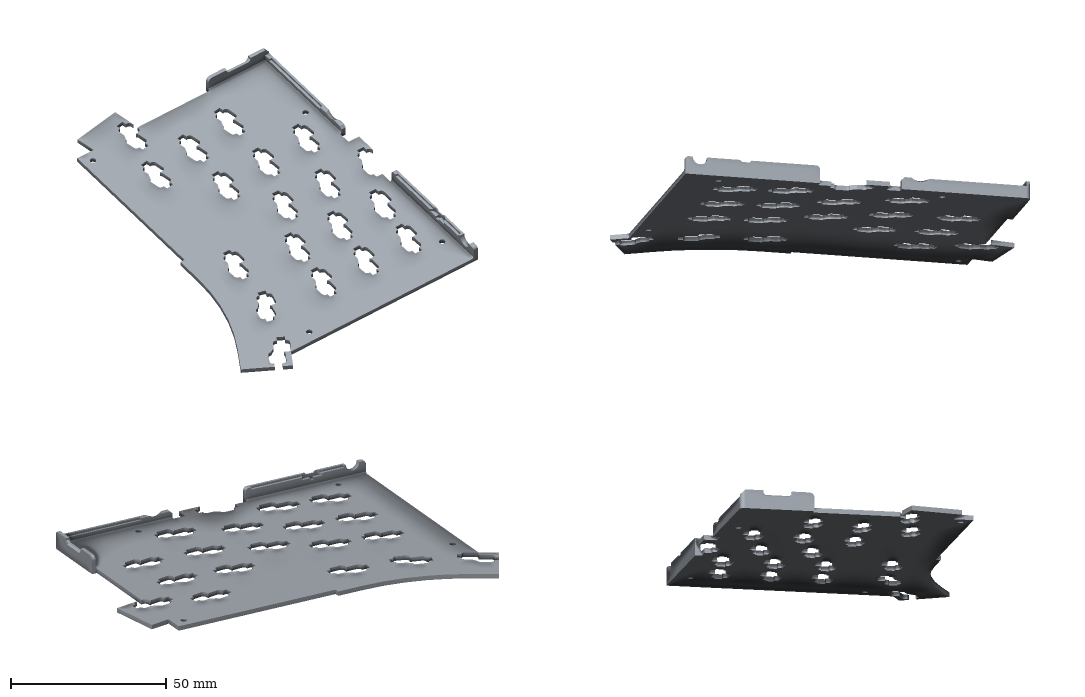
import cadquery as cq
import math

LENGTH_X = 128.3
DEPTH_Y = 94.5
HEIGHT_Z = 6.2

PLATE = 1.5
PANEL_W = 112.8
PANEL_D = 74.8
FOOT = 0.5

SWEEP_STEP_X = 58.3
SWEEP_DROP = 1.7
SWEEP_START_X = 67.8
SWEEP_R = 68.3
SWEEP_ANGLE = 30
SWEEP_TAIL = 9.2
THUMB_SIDE = 17.0

PINKY_ANGLE = 10
PINKY_CORNER_Y = 22.5
PINKY_SIDE = 17.5
PINKY_TOP_END_X = -1.9

REAR_LUG_X = 45.5
REAR_LUG_END_X = 53.3

KEY_X = 18
KEY_Y = 17.0
LOBE_W = 5.4
LOBE_H = 5.5
LOBE_R = 1.2
LOBE_DX = 2.6
LOBE_DY = 1.0
TAB_REACH = 6.8
TAB_H = 2.7
BLEND_W = 1.8
BLEND_H = 1.2

PIN_D = 2.0
PIN_HOLES = [(26.4, 71.7), (100.6, 71.7), (109.0, 12.6), (3.8, 3.5)]

WALL = 1.7
LEFT_WALL = 1.3
REAR_Y = PANEL_D + FOOT
REAR_OUT_Y = REAR_Y + WALL
LEFT_OUT_X = -FOOT - LEFT_WALL
LEDGE_D = 0.9
LEDGE_H = 0.8


def rotated(x, y, angle):
    a = math.radians(angle)
    return x * math.cos(a) - y * math.sin(a), x * math.sin(a) + y * math.cos(a)


def box(x0, x1, y0, y1, z0, z1):
    return cq.Workplane("XY").box(x1 - x0, y1 - y0, z1 - z0, centered=False).translate((x0, y0, z0))


def prism(points):
    return cq.Workplane("XY").polyline(points).close().extrude(PLATE)


sweep_a = math.radians(SWEEP_ANGLE)
arc_end = (
    SWEEP_START_X + SWEEP_R * math.sin(sweep_a),
    -SWEEP_DROP - SWEEP_R * (1 - math.cos(sweep_a)),
)
arc_mid = (
    SWEEP_START_X + SWEEP_R * math.sin(sweep_a / 2),
    -SWEEP_DROP - SWEEP_R * (1 - math.cos(sweep_a / 2)),
)
thumb_low = (
    arc_end[0] + SWEEP_TAIL * math.cos(sweep_a),
    arc_end[1] - SWEEP_TAIL * math.sin(sweep_a),
)
thumb_tip = (
    thumb_low[0] + THUMB_SIDE * math.sin(sweep_a),
    thumb_low[1] + THUMB_SIDE * math.cos(sweep_a),
)
thumb_root_y = thumb_tip[1] + (thumb_tip[0] - PANEL_W) * math.tan(sweep_a)


def panel():
    return (
        cq.Workplane("XY")
        .moveTo(0, 0)
        .lineTo(SWEEP_STEP_X, 0)
        .lineTo(SWEEP_STEP_X, -SWEEP_DROP)
        .lineTo(SWEEP_START_X, -SWEEP_DROP)
        .threePointArc(arc_mid, arc_end)
        .lineTo(*thumb_low)
        .lineTo(*thumb_tip)
        .lineTo(PANEL_W, thumb_root_y)
        .lineTo(PANEL_W, PANEL_D)
        .lineTo(0, PANEL_D)
        .close()
        .extrude(PLATE)
    )


def pinky_lug():
    slope = math.tan(math.radians(PINKY_ANGLE))
    x0 = thumb_tip[0] - LENGTH_X
    dx, dy = rotated(0, -PINKY_SIDE, PINKY_ANGLE)
    x1, y1 = x0 + dx, PINKY_CORNER_Y + dy
    top_end_y = PINKY_CORNER_Y + (PINKY_TOP_END_X - x0) * slope
    return prism([
        (x0, PINKY_CORNER_Y),
        (x1, y1),
        (0, y1 - x1 * slope),
        (0, PINKY_CORNER_Y),
        (PINKY_TOP_END_X, PINKY_CORNER_Y),
        (PINKY_TOP_END_X, top_end_y),
    ])


def rear_lug():
    return box(REAR_LUG_X, REAR_LUG_END_X, PANEL_D, thumb_low[1] + DEPTH_Y, 0, PLATE)


def socket_cutout():
    """Two offset rounded lobes, each with a square tab at its outer end."""
    shape = prism([
        (LOBE_W / 2 - LOBE_DX - BLEND_W - 0.4, -LOBE_H / 2 + LOBE_DY),
        (-LOBE_W / 2 + LOBE_DX, -LOBE_H / 2 + LOBE_DY - BLEND_H),
        (0, 0),
    ])
    for side in (-1, 1):
        cx, cy = side * LOBE_DX, -side * LOBE_DY
        lobe = cq.Workplane("XY").rect(LOBE_W, LOBE_H).extrude(PLATE).edges("|Z").fillet(LOBE_R)
        tab = cq.Workplane("XY").rect(TAB_REACH - LOBE_DX, TAB_H).extrude(PLATE)
        tab_cx = side * (TAB_REACH + LOBE_DX) / 2
        shape = shape.union(lobe.translate((cx, cy, 0))).union(tab.translate((tab_cx, cy, 0)))
    return shape


COLUMNS = [
    (18.3, 32.8, 10, (-1, 0, 1)),
    (37.3, 48.0, 4, (-1, 0, 1)),
    (93.0 - 2 * KEY_X, 58.0, 0, (-1, 0, 1)),
    (93.0 - KEY_X, 49.7, 0, (-1, 0, 1)),
    (93.0, 47.0, 0, (-1, 0, 1)),
    (75.6, 49.7, 0, (1,)),
    (2.2, 20.5, PINKY_ANGLE, (0,)),
    (69.9, 12.0, 0, (0,)),
    (91.1, 8.5, -SWEEP_ANGLE / 2, (0,)),
    (110.7, -0.5, -SWEEP_ANGLE, (0,)),
]


def cut_sockets(body):
    cutout = socket_cutout()
    for x, y, tilt, rows in COLUMNS:
        turned = cutout.rotate((0, 0, 0), (0, 0, 1), tilt)
        for row in rows:
            dx, dy = rotated(0, row * KEY_Y, tilt)
            body = body.cut(turned.translate((x + dx, y + dy, 0)))
    return body


REAR_LEFT_END = 41
REAR_LEFT_TOP = 4.1
REAR_LEFT_CORNER = 0.9
REAR_LEFT_LEDGE = (1.8, 29.4)
SCALLOP_X = 34.8
SCALLOP_R = 4.5
SCALLOP_DEPTH = 0.5
SCALLOP_TILT = 25

RIGHT_START = 68.3
RIGHT_TOP = 5.9
RIGHT_CORNER = 1.0
RIGHT_LEDGE = (70.5, 104.7)
POCKET_X = (89.0, 96.8)
POCKET_Z = 4.2
POCKET_D = 1.3
POCKET_TAPER = 1.2
NOTCH_X = (90.9, 94.7)
NOTCH_H = 0.6
GROOVE_W = 1.4
GROOVE_Z = 3.5
SCOOP_X = 107.9
SCOOP_R = 2.5
POST_R = 1.0

LEFT_START_Y = 52.7
LEFT_CORNER_R = 1.5
CORNER_R = 1.5
CORNER_BEVEL = 1.5
WINDOW_Y = (60.0, 69.5)
WINDOW_Z = 4.7
WINDOW_CHAMFER = 0.6
SILL_BEVEL = 0.5


def ledge(x_range, top):
    return box(*x_range, REAR_Y, REAR_Y + LEDGE_D, top - LEDGE_H, top)


def notch():
    """Notch with 45 degree ends through the top of the rear right wall."""
    x0, x1 = NOTCH_X
    floor = RIGHT_TOP - NOTCH_H
    points = [(x0, RIGHT_TOP), (x0 + NOTCH_H, floor), (x1 - NOTCH_H, floor), (x1, RIGHT_TOP)]
    return cq.Workplane("XZ", origin=(0, REAR_OUT_Y, 0)).polyline(points).close().extrude(WALL)


def rear_left_wall():
    wall = box(LEFT_OUT_X, REAR_LEFT_END, REAR_Y, REAR_OUT_Y, 0, REAR_LEFT_TOP)
    wall = wall.edges(">X and >Z").chamfer(REAR_LEFT_CORNER)
    wall = wall.cut(ledge(REAR_LEFT_LEDGE, REAR_LEFT_TOP))
    scallop = (
        cq.Workplane("XZ")
        .center(0, SCALLOP_R)
        .circle(SCALLOP_R)
        .extrude(2 * WALL, both=True)
        .rotate((0, 0, 0), (1, 0, 0), -SCALLOP_TILT)
        .translate((SCALLOP_X, REAR_Y, REAR_LEFT_TOP - SCALLOP_DEPTH))
    )
    return wall.cut(scallop)


def rear_right_wall():
    wall = box(RIGHT_START, PANEL_W, REAR_Y, REAR_OUT_Y, 0, RIGHT_TOP)
    wall = wall.edges("<X and >Z").fillet(RIGHT_CORNER)
    wall = wall.edges(">X and >Z").fillet(POST_R)
    wall = wall.cut(ledge(RIGHT_LEDGE, RIGHT_TOP))
    x0, x1 = POCKET_X
    pocket = (
        cq.Workplane("XY", origin=(0, 0, POCKET_Z))
        .polyline([
            (x0, REAR_Y),
            (x0 + POCKET_TAPER, REAR_Y + POCKET_D),
            (x1 - POCKET_TAPER, REAR_Y + POCKET_D),
            (x1, REAR_Y),
        ])
        .close()
        .extrude(RIGHT_TOP - POCKET_Z)
    )
    middle = (x0 + x1) / 2
    groove = box(
        middle - GROOVE_W / 2, middle + GROOVE_W / 2, REAR_Y, REAR_Y + POCKET_D, GROOVE_Z, POCKET_Z
    )
    scoop = (
        cq.Workplane("XZ", origin=(SCOOP_X, REAR_OUT_Y, RIGHT_TOP)).circle(SCOOP_R).extrude(WALL)
    )
    return wall.cut(pocket).cut(groove).cut(notch()).cut(scoop)


def left_wall():
    wall = box(LEFT_OUT_X, -FOOT, LEFT_START_Y, REAR_OUT_Y, 0, HEIGHT_Z)
    wall = wall.edges("<Y and >Z").fillet(LEFT_CORNER_R)
    wall = wall.edges(">Y and >Z").chamfer(CORNER_BEVEL)
    y0, y1 = WINDOW_Y
    window = box(LEFT_OUT_X, -FOOT, y0, y1, WINDOW_Z, HEIGHT_Z).edges("|X and <Z").chamfer(WINDOW_CHAMFER)
    sill = (
        cq.Workplane("XZ", origin=(LEFT_OUT_X, y1 - WINDOW_CHAMFER, WINDOW_Z))
        .polyline([(0, -SILL_BEVEL), (SILL_BEVEL, 0), (0, 0)])
        .close()
        .extrude(y1 - y0 - 2 * WINDOW_CHAMFER)
    )
    return wall.cut(window).cut(sill)


def foot_strip(length):
    """Strip along +X, against a wall on its +Y side, with a 45 degree top."""
    profile = [(0, 0), (FOOT, 0), (FOOT, PLATE + FOOT), (0, PLATE)]
    return cq.Workplane("YZ").polyline(profile).close().extrude(length)


walls = rear_left_wall().union(left_wall()).edges("|Z and <X and >Y").fillet(CORNER_R)
walls = walls.union(rear_right_wall())
walls = walls.union(foot_strip(REAR_LEFT_END + FOOT).translate((-FOOT, PANEL_D, 0)))
walls = walls.union(foot_strip(PANEL_W - RIGHT_START).translate((RIGHT_START, PANEL_D, 0)))
left_foot = foot_strip(REAR_Y - LEFT_START_Y).rotate((0, 0, 0), (0, 0, 1), 90)
walls = walls.union(left_foot.translate((0, LEFT_START_Y, 0)))

plate = cut_sockets(panel().union(pinky_lug()).union(rear_lug()))
plate = plate.cut(cq.Workplane("XY").pushPoints(PIN_HOLES).circle(PIN_D / 2).extrude(PLATE))
result = plate.union(walls)